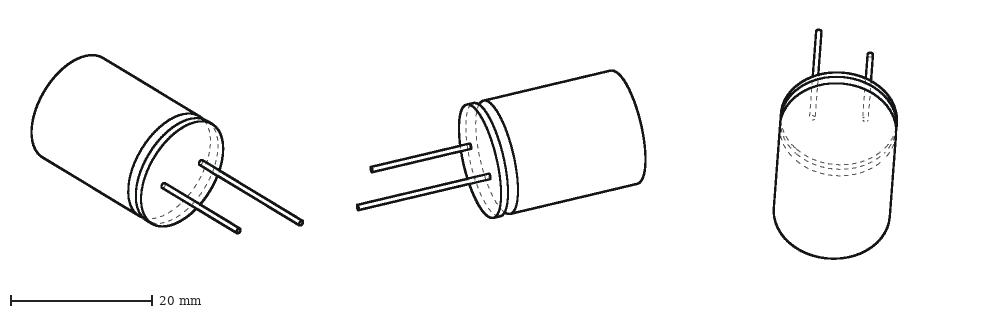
import cadquery as cq

TOTAL_LENGTH = 42.0
CAN_LENGTH = 22.0
CAN_DIAMETER = 16.5
EDGE_RADIUS = 0.2
GROOVE_RADIUS = 0.75
GROOVE_FROM_LEAD_END = 1.8
LEAD_DIAMETER = 0.8
LEAD_PITCH = 7.5
LEAD_LENGTH_DIFFERENCE = 5.0

CAN_RADIUS = CAN_DIAMETER / 2
LONG_LEAD_LENGTH = TOTAL_LENGTH - CAN_LENGTH
SHORT_LEAD_LENGTH = LONG_LEAD_LENGTH - LEAD_LENGTH_DIFFERENCE


def make_groove_cutter():
    """Ring of circular section, centred on the can surface."""
    return (
        cq.Workplane("XZ")
        .center(-GROOVE_FROM_LEAD_END, CAN_RADIUS)
        .circle(GROOVE_RADIUS)
        .revolve(360, (0, -CAN_RADIUS), (1, -CAN_RADIUS))
    )


def make_can():
    """Cylindrical can with a rounded closed end and a crimp groove near the leads."""
    cylinder = cq.Workplane("YZ").circle(CAN_RADIUS).extrude(-CAN_LENGTH)
    rounded = cylinder.faces("<X").edges().fillet(EDGE_RADIUS)
    return rounded.cut(make_groove_cutter())


def make_lead(y_position, length):
    """Straight round wire standing on the flat lead end of the can."""
    return cq.Workplane("YZ").center(y_position, 0).circle(LEAD_DIAMETER / 2).extrude(length)


can = make_can()

leads = []
for side, lead_length in ((1, LONG_LEAD_LENGTH), (-1, SHORT_LEAD_LENGTH)):
    leads.append(make_lead(side * LEAD_PITCH / 2, lead_length))

result = cq.Compound.makeCompound([can.val(), *[lead.val() for lead in leads]])